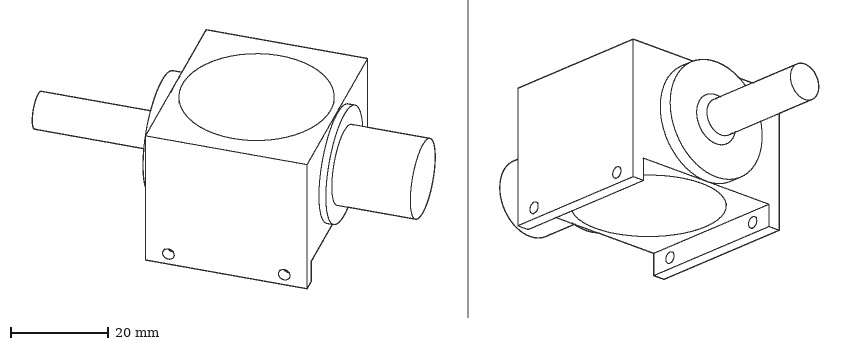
import cadquery as cq

housing_length = 34.9
housing_width = 41.0
housing_height = 30.8
leg_height = 5.0
leg_thickness = 2.9
bore_diameter = 32.0

leg_hole_diameter = 2.5
leg_hole_spacing = 25.0
leg_hole_height = leg_height / 2

drive_flange_thickness = 3.0
drive_shaft_diameter = 8.0
collar_length = 1.5
collar_diameter = drive_shaft_diameter + 2 * collar_length

stub_flange_diameter = 25.0
stub_flange_thickness = 1.5
stub_shaft_diameter = 16.95
stub_shaft_length = 16.95

overall_length = 83.1
drive_shaft_length = (
    overall_length - housing_length - drive_flange_thickness - stub_flange_thickness - stub_shaft_length
)

block_height = housing_height - leg_height
drive_flange_diameter = block_height
block_bottom = -block_height / 2
leg_bottom = block_bottom - leg_height
face_distance = housing_length / 2


def make_housing():
    """Block with two legs, a vertical bore and a pair of cross holes through the legs."""
    body = cq.Workplane("XY", origin=(0, 0, leg_bottom)).box(
        housing_length, housing_width, housing_height, centered=(True, True, False)
    )

    channel_width = housing_width - 2 * leg_thickness
    channel = cq.Workplane("XY", origin=(0, 0, leg_bottom)).box(
        housing_length, channel_width, leg_height, centered=(True, True, False)
    )

    bore = cq.Workplane("XY", origin=(0, 0, block_bottom)).circle(bore_diameter / 2).extrude(block_height)

    leg_holes = (
        cq.Workplane("XZ", origin=(0, 0, leg_bottom + leg_hole_height))
        .pushPoints([(-leg_hole_spacing / 2, 0), (leg_hole_spacing / 2, 0)])
        .circle(leg_hole_diameter / 2)
        .extrude(housing_width / 2, both=True)
    )
    return body.cut(channel).cut(bore).cut(leg_holes)


def make_drive_shaft():
    """Flange, tapered collar and long thin shaft, revolved about X."""
    flange_outer_x = -face_distance - drive_flange_thickness
    collar_end_x = flange_outer_x - collar_length
    shaft_end_x = flange_outer_x - drive_shaft_length
    half_profile = [
        (-face_distance, 0),
        (-face_distance, drive_flange_diameter / 2),
        (flange_outer_x, drive_flange_diameter / 2),
        (flange_outer_x, collar_diameter / 2),
        (collar_end_x, drive_shaft_diameter / 2),
        (shaft_end_x, drive_shaft_diameter / 2),
        (shaft_end_x, 0),
    ]
    return cq.Workplane("XY").polyline(half_profile).close().revolve(360, (0, 0), (1, 0))


def make_stub_shaft():
    """Thin flange with a short thick shaft."""
    return (
        cq.Workplane("YZ", origin=(face_distance, 0, 0))
        .circle(stub_flange_diameter / 2)
        .extrude(stub_flange_thickness)
        .faces(">X")
        .workplane()
        .circle(stub_shaft_diameter / 2)
        .extrude(stub_shaft_length)
    )


housing = make_housing()
drive_shaft = make_drive_shaft()
stub_shaft = make_stub_shaft()

result = cq.Compound.makeCompound([housing.val(), drive_shaft.val(), stub_shaft.val()])